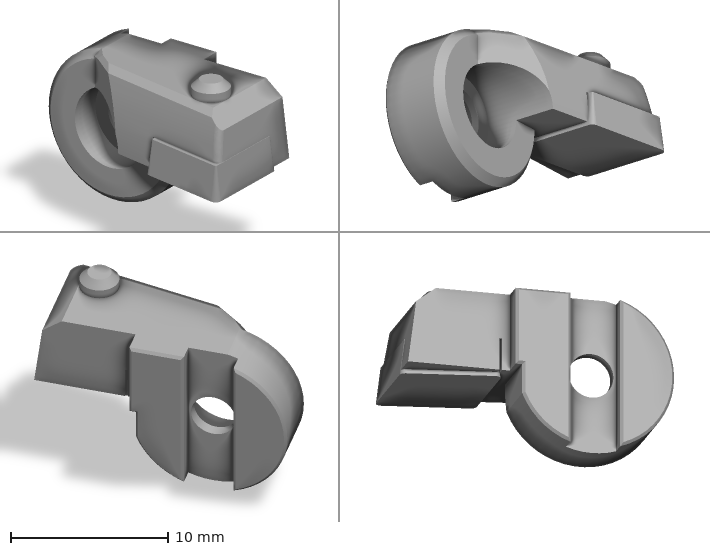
import cadquery as cq
import math

REACH = 34.4

HUB_RADIUS = 5.2
HUB_THICKNESS = 4.47
HUB_FRONT_CHAMFER = 0.52
HUB_FLAT_X = 4.82
BORE_RADIUS = 1.46
BORE_CHAMFER = 0.31
COUNTERBORE_RADIUS = 2.77
COUNTERBORE_FLOOR_Y = -HUB_THICKNESS / 2
SLOT_WIDTH = 3.29
SLOT_DEPTH = 1.17
BACK_CHAMFER = 0.17

TAB_END_X = 5.25

ARM_TOP_Z = 5.1
ARM_BACK_Y = -1.57
END_BOTTOM_X = 11.95
END_TOP_X = 11.42
END_TOP_Z = 4.11
TOP_FLAT_END_X = 10.13
SIDE_ANGLE = 10.3
SIDE_BOTTOM = 6.8
SIDE_RIM = 5.99
SIDE_TOP = 5.37
RIM_Z = 4.78
SHOULDER_ANGLE = 37.5
SHOULDER_START_X = -1.2
SHOULDER_BEVEL_WIDTH = 0.28
HEEL_ANGLE = 50.0
HEEL_TOP = 3.34
NOSE_RADIUS = 0.4

INSERT_ANGLE = 10.0
INSERT_RIGHT_X = 12.0
INSERT_FRONT_Y = -9.45
INSERT_WIDTH_X = 6.36
INSERT_BOTTOM_Z = -0.3
INSERT_THICKNESS = 2.4
INSERT_RELIEF = 7.0
POCKET_WALL_X = 5.76

PIN_X = 8.84
PIN_Y = -5.75
PIN_RADIUS = 1.27
PIN_TOP_Z = 6.23
PIN_CHAMFER = 0.5

INSERT_LEFT_X = INSERT_RIGHT_X - INSERT_WIDTH_X
INSERT_TOP_Z = INSERT_BOTTOM_Z + INSERT_THICKNESS
ARM_TOP_START_X = -math.sqrt(HUB_RADIUS**2 - ARM_TOP_Z**2)


def outward_distance(x, y, angle):
    """Distance of (x, y) from the hub axis along the outward normal of a front face at this angle."""
    return -x * math.sin(math.radians(angle)) - y * math.cos(math.radians(angle))


def face_y(x, distance, angle):
    """Y of the point at x on a front face with this angle and distance from the hub axis."""
    return -(distance + x * math.sin(math.radians(angle))) / math.cos(math.radians(angle))


def section_plane(angle):
    """Vertical plane square to a front face: local x points out of the face, local y is up."""
    a = math.radians(angle)
    return cq.Plane(
        origin=(0, 0, 0),
        xDir=(-math.sin(a), -math.cos(a), 0),
        normal=(-math.cos(a), math.sin(a), 0),
    )


def hub_rim(degrees):
    """Point (x, z) on the hub's rim, measured from +X towards +Z."""
    a = math.radians(degrees)
    return HUB_RADIUS * math.cos(a), HUB_RADIUS * math.sin(a)


def front_sketch(y):
    """Workplane at depth y with X right and Z up; extruding runs towards -Y."""
    return cq.Workplane("XZ", origin=(0, y, 0))


def back_plate():
    """Back layer of hub and tab, with the driving slot and chamfered back edges."""
    flat_end_z = -math.sqrt(HUB_RADIUS**2 - HUB_FLAT_X**2)
    plate = (
        front_sketch(0)
        .moveTo(ARM_TOP_START_X, ARM_TOP_Z)
        .threePointArc(hub_rim(210), (HUB_FLAT_X, flat_end_z))
        .lineTo(HUB_FLAT_X, 0)
        .lineTo(TAB_END_X, 0)
        .lineTo(TAB_END_X, ARM_TOP_Z)
        .close()
        .extrude(-ARM_BACK_Y)
    )
    slot = cq.Workplane("XY").box(SLOT_WIDTH, 2 * SLOT_DEPTH, REACH)
    return plate.cut(slot).faces(">Y").edges().chamfer(BACK_CHAMFER)


def hub_disc():
    """Front layer of the hub, chamfered at its front rim and flattened on the right and on top."""
    disc = (
        front_sketch(ARM_BACK_Y)
        .circle(HUB_RADIUS)
        .extrude(HUB_THICKNESS + ARM_BACK_Y)
        .faces("<Y")
        .chamfer(HUB_FRONT_CHAMFER)
    )
    envelope = (
        front_sketch(0)
        .moveTo(-HUB_RADIUS, -HUB_RADIUS)
        .lineTo(HUB_FLAT_X, -HUB_RADIUS)
        .lineTo(HUB_FLAT_X, ARM_TOP_Z)
        .lineTo(-HUB_RADIUS, ARM_TOP_Z)
        .close()
        .extrude(HUB_THICKNESS)
    )
    return disc.intersect(envelope)


def arm_front_outline():
    """Arm as seen along Y: hub arc on the left, bevelled and relieved end on the right."""
    return (
        front_sketch(ARM_BACK_Y)
        .moveTo(*hub_rim(180))
        .lineTo(END_BOTTOM_X, 0)
        .lineTo(END_TOP_X, END_TOP_Z)
        .lineTo(TOP_FLAT_END_X, ARM_TOP_Z)
        .lineTo(ARM_TOP_START_X, ARM_TOP_Z)
        .threePointArc(hub_rim(150), hub_rim(180))
        .close()
        .extrude(REACH)
    )


def side_prism():
    """Material behind the curved side, which stands upright at the bottom and is bevelled on top."""
    return (
        cq.Workplane(section_plane(SIDE_ANGLE))
        .moveTo(-REACH, 0)
        .lineTo(SIDE_BOTTOM, 0)
        .threePointArc(side_arc_middle(), (SIDE_RIM, RIM_Z))
        .lineTo(SIDE_TOP, ARM_TOP_Z)
        .lineTo(-REACH, ARM_TOP_Z)
        .close()
        .extrude(REACH, both=True)
    )


def side_arc_middle():
    """Point halfway up the side arc, whose centre is level with the underside."""
    drop = SIDE_BOTTOM - SIDE_RIM
    radius = (RIM_Z**2 + drop**2) / (2 * drop)
    z = RIM_Z / 2
    return SIDE_BOTTOM - radius + math.sqrt(radius**2 - z**2), z


def shoulder_prism():
    """Material behind the oblique shoulder face and its top bevel."""
    face = outward_distance(SHOULDER_START_X, -HUB_THICKNESS, SHOULDER_ANGLE)
    return (
        cq.Workplane(section_plane(SHOULDER_ANGLE))
        .moveTo(-REACH, 0)
        .lineTo(face, 0)
        .lineTo(face, RIM_Z)
        .lineTo(face - SHOULDER_BEVEL_WIDTH, ARM_TOP_Z)
        .lineTo(-REACH, ARM_TOP_Z)
        .close()
        .extrude(REACH, both=True)
    )


def heel_prism():
    """Material below the facet at the hub end of the shoulder bevel."""
    foot = HEEL_TOP + ARM_TOP_Z
    return (
        cq.Workplane(section_plane(HEEL_ANGLE))
        .moveTo(-REACH, 0)
        .lineTo(foot, 0)
        .lineTo(HEEL_TOP, ARM_TOP_Z)
        .lineTo(-REACH, ARM_TOP_Z)
        .close()
        .extrude(REACH, both=True)
    )


def arm():
    """Arm in front of the back plate, rounded where its end meets the curved side."""
    blank = arm_front_outline().intersect(side_prism())
    nose_x = (END_BOTTOM_X + END_TOP_X) / 2
    nose = (nose_x, face_y(nose_x, SIDE_BOTTOM, SIDE_ANGLE), END_TOP_Z / 2)
    rounded = blank.edges(cq.selectors.NearestToPointSelector(nose)).fillet(NOSE_RADIUS)
    return rounded.intersect(shoulder_prism()).intersect(heel_prism())


def insert_blank():
    """Rhombic insert, largest at its lower face and drawn in by the relief angle above it."""
    front = NOSE_RADIUS + outward_distance(
        INSERT_RIGHT_X - NOSE_RADIUS, INSERT_FRONT_Y + NOSE_RADIUS, INSERT_ANGLE
    )
    side_length = INSERT_WIDTH_X / math.cos(math.radians(INSERT_ANGLE))
    left_y = face_y(INSERT_LEFT_X, front, INSERT_ANGLE)
    right_y = face_y(INSERT_RIGHT_X, front, INSERT_ANGLE)
    corners = [
        (INSERT_LEFT_X, left_y),
        (INSERT_RIGHT_X, right_y),
        (INSERT_RIGHT_X, right_y + side_length),
        (INSERT_LEFT_X, left_y + side_length),
        (INSERT_LEFT_X, left_y),
    ]
    outline = cq.Sketch().polygon(corners).vertices().fillet(NOSE_RADIUS)
    return (
        cq.Workplane("XY", origin=(0, 0, INSERT_BOTTOM_Z))
        .placeSketch(outline)
        .extrude(INSERT_THICKNESS, taper=INSERT_RELIEF)
    )


def pin_blank():
    """Plain pin from the insert's lower face to above the arm, chamfered at its top."""
    return (
        cq.Workplane("XY", origin=(PIN_X, PIN_Y, INSERT_BOTTOM_Z))
        .circle(PIN_RADIUS)
        .extrude(PIN_TOP_Z - INSERT_BOTTOM_Z)
        .faces(">Z")
        .chamfer(PIN_CHAMFER)
    )


def bore_tool():
    """Bore, its conical mouth and the counterbore, which also hollows the arm in front of the hub."""
    floor = COUNTERBORE_FLOOR_Y
    return (
        cq.Workplane("XY")
        .moveTo(0, 0)
        .lineTo(BORE_RADIUS, 0)
        .lineTo(BORE_RADIUS, floor + BORE_CHAMFER)
        .lineTo(BORE_RADIUS + BORE_CHAMFER, floor)
        .lineTo(COUNTERBORE_RADIUS, floor)
        .lineTo(COUNTERBORE_RADIUS, -REACH)
        .lineTo(0, -REACH)
        .close()
        .revolve(360, (0, 0, 0), (0, 1, 0))
    )


def pocket_clearance():
    """Upright gap beside the insert's relieved left flank, open at the back."""
    relief_run = INSERT_THICKNESS * math.tan(math.radians(INSERT_RELIEF))
    width = INSERT_LEFT_X + relief_run - POCKET_WALL_X
    return cq.Workplane("XY", origin=(POCKET_WALL_X, 0, 0)).box(
        width, REACH, INSERT_TOP_Z, centered=(False, True, False)
    )


pin = pin_blank()
insert = insert_blank().cut(pin)
holder = (
    back_plate()
    .union(hub_disc())
    .union(arm())
    .cut(bore_tool())
    .cut(pocket_clearance())
    .cut(insert_blank())
    .cut(pin)
)

result = cq.Compound.makeCompound([holder.solids().val(), insert.solids().val(), pin.solids().val()])